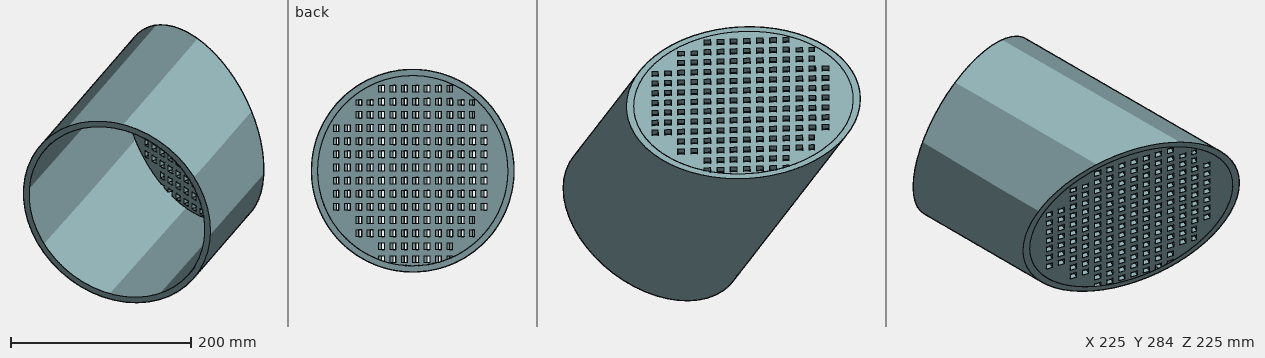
import cadquery as cq
import math

length = 284.0
outer_diameter = 225.0
bore_diameter = 211.2
slant = math.radians(30)
mouth_center_y = length - outer_diameter / 2 * math.tan(slant)

grate_thickness = (outer_diameter - bore_diameter) / 2

opening_size = 7.5
opening_count = 14
grid_reach = 94.8
opening_pitch = 2 * grid_reach / (opening_count - 1)

short_half = 50.5
middle_half = 78.5
long_half = 101.5
field_half_sizes = [
    (short_half, long_half),
    (middle_half, middle_half),
    (long_half, short_half),
]

mouth_plane = cq.Plane(
    origin=(0, mouth_center_y, 0),
    xDir=(math.cos(slant), -math.sin(slant), 0),
    normal=(-math.sin(slant), -math.cos(slant), 0),
)


def cylinder_along_y(diameter):
    """Full-length cylinder on the tube axis."""
    return cq.Workplane("XZ").circle(diameter / 2).extrude(-length)


def make_mouth_slab(depth):
    """Oversized slab that reaches from the mouth plane into the tube."""
    return cq.Workplane(mouth_plane).rect(2 * length, 2 * length).extrude(depth)


def make_tube():
    beyond_mouth = make_mouth_slab(-length)
    return cylinder_along_y(outer_diameter).cut(cylinder_along_y(bore_diameter)).cut(beyond_mouth)


def make_opening_field():
    """Stepped round block that bounds the openings."""
    field = cq.Workplane(mouth_plane)
    for half_width, half_height in field_half_sizes:
        crossed_block = (
            cq.Workplane(mouth_plane)
            .rect(2 * half_width, 2 * half_height)
            .extrude(grate_thickness)
        )
        field = field.add(crossed_block)
    return field.combine()


def make_openings():
    """Square prisms through the grate, those at the rim cut off where the field ends."""
    steps = [index * opening_pitch for index in range(opening_count)]
    first_x = -grid_reach + opening_size / 2
    first_z = grid_reach - opening_size / 2
    centers = [(first_x + across, first_z - down) for across in steps for down in steps]
    openings = (
        cq.Workplane(mouth_plane)
        .pushPoints(centers)
        .rect(opening_size, opening_size)
        .extrude(grate_thickness)
    )
    return openings.intersect(make_opening_field())


def make_grate():
    plate = make_mouth_slab(grate_thickness).intersect(cylinder_along_y(bore_diameter))
    return plate.cut(make_openings())


tube = make_tube()
grate = make_grate()
result = cq.Compound.makeCompound([*tube.vals(), *grate.solids().vals()])